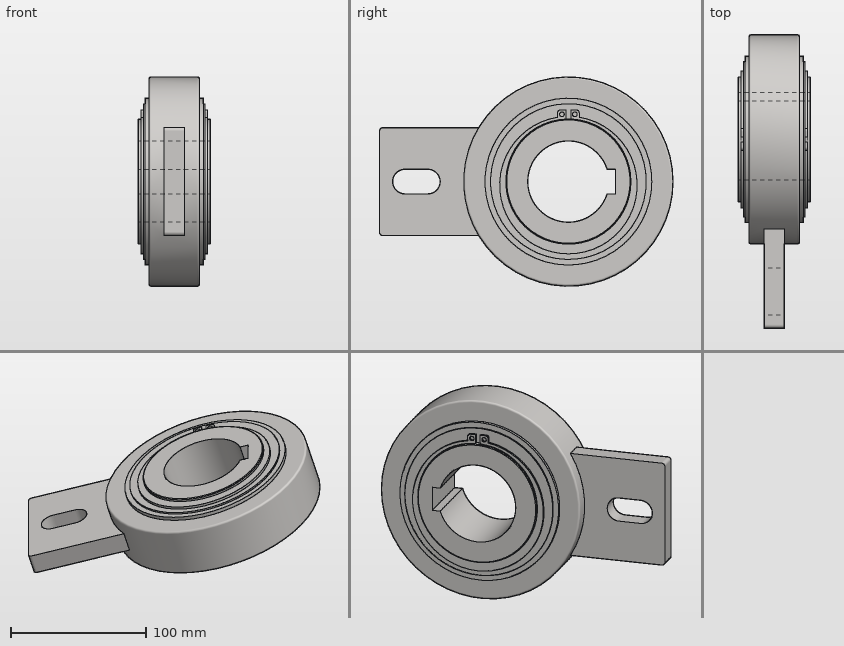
import cadquery as cq

overall_length = 217.5
hub_width = 54.0
ring_radius = 77.54
arm_end_y = ring_radius - overall_length

ring_width = 37.5
ring_edge_radius = 1.5

hub_radius = 46.3
hub_edge_chamfer = 0.7
cover_radius = 61.8
cover_width = 43.0
seal_radius = 57.6
seal_width = 45.7

bore_radius = 30.0
key_width = 18.0
key_reach = 34.8

clip_width = 49.5
clip_radius = 51.0
clip_drop = 2.6
lug_gap = 3.5
lug_pair_width = 16.0
lug_top = 53.0
lug_corner_radius = 2.2
lug_hole_spacing = 9.5
lug_hole_radius = 1.7
lug_hole_z = 49.8

arm_thickness = 15.0
arm_height = 80.0
arm_corner_radius = 2.6
slot_length = 35.0
slot_width = 18.0
slot_end_distance = 27.5


def disc(radius, width):
    """Disc centred on the origin with its axis along X."""
    return cq.Workplane("YZ", origin=(-width / 2, 0, 0)).circle(radius).extrude(width)


def make_arm():
    """Slotted flat arm running from the bearing axis to its -Y end."""
    arm_length = -arm_end_y
    arm = (
        cq.Workplane("XY")
        .box(arm_thickness, arm_length, arm_height)
        .translate((0, arm_end_y / 2, 0))
        .faces("<Y")
        .edges("|X")
        .fillet(arm_corner_radius)
    )
    slot = (
        cq.Workplane("YZ")
        .center(arm_end_y + slot_end_distance, 0)
        .slot2D(slot_length, slot_width)
        .extrude(arm_thickness, both=True)
    )
    return arm.cut(slot)


def make_clip():
    """Retaining ring on the -X side, standing on the face of the seal."""
    clip_thickness = (clip_width - seal_width) / 2
    face = cq.Workplane("YZ", origin=(-clip_width / 2, 0, 0))
    band = face.center(0, -clip_drop).circle(clip_radius).extrude(clip_thickness)
    lugs = (
        face.center(0, lug_top / 2)
        .rect(lug_pair_width, lug_top)
        .extrude(clip_thickness)
        .faces(">Z")
        .edges("|X")
        .fillet(lug_corner_radius)
    )
    opening = face.center(0, lug_top / 2).rect(lug_gap, lug_top).extrude(clip_thickness)
    holes = (
        face.pushPoints([(side * lug_hole_spacing / 2, lug_hole_z) for side in (-1, 1)])
        .circle(lug_hole_radius)
        .extrude(clip_thickness)
    )
    return band.union(lugs).cut(opening).cut(holes)


def make_bore():
    """Through bore with its keyway on the +Y side."""
    keyway = (
        cq.Workplane("XY")
        .box(hub_width, key_reach, key_width)
        .translate((0, key_reach / 2, 0))
    )
    return disc(bore_radius, hub_width).union(keyway)


ring = disc(ring_radius, ring_width).edges().fillet(ring_edge_radius)
hub = disc(hub_radius, hub_width).edges().chamfer(hub_edge_chamfer)
clip = make_clip()

result = (
    ring.union(make_arm())
    .union(disc(cover_radius, cover_width))
    .union(disc(seal_radius, seal_width))
    .union(clip)
    .union(clip.mirror("YZ"))
    .union(hub)
    .cut(make_bore())
)